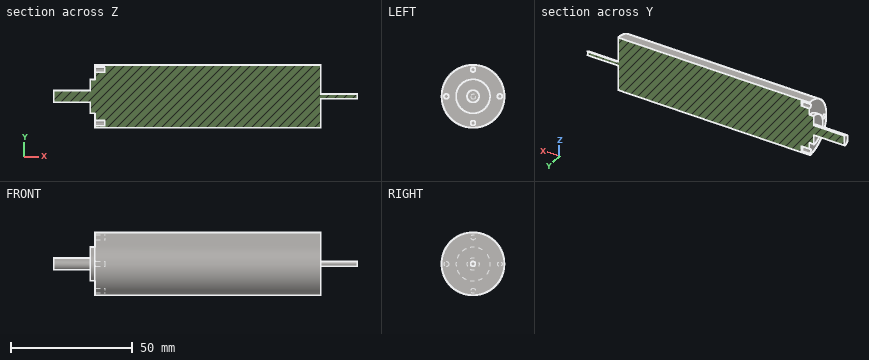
import cadquery as cq

output_shaft_length = 15.0
pilot_length = 2.0
body_length = 93.0
rear_shaft_length = 15.0

output_shaft_diameter = 5.0
pilot_diameter = 14.0
body_diameter = 26.0
rear_shaft_diameter = 2.0

hole_count = 4
hole_diameter = 2.0
hole_circle_diameter = 22.0
hole_depth = 4.0

pilot_front = -pilot_length
output_shaft_front = pilot_front - output_shaft_length


def cylinder_along_x(start, length, diameter):
    return cq.Workplane("YZ", origin=(start, 0, 0)).circle(diameter / 2).extrude(length)


def mounting_holes():
    return (
        cq.Workplane("YZ")
        .polarArray(hole_circle_diameter / 2, 0, 360, hole_count)
        .circle(hole_diameter / 2)
        .extrude(hole_depth)
    )


body = cylinder_along_x(0, body_length, body_diameter)
pilot = cylinder_along_x(pilot_front, pilot_length, pilot_diameter)
output_shaft = cylinder_along_x(output_shaft_front, output_shaft_length, output_shaft_diameter)
rear_shaft = cylinder_along_x(body_length, rear_shaft_length, rear_shaft_diameter)

result = body.union(pilot).union(output_shaft).union(rear_shaft).cut(mounting_holes())